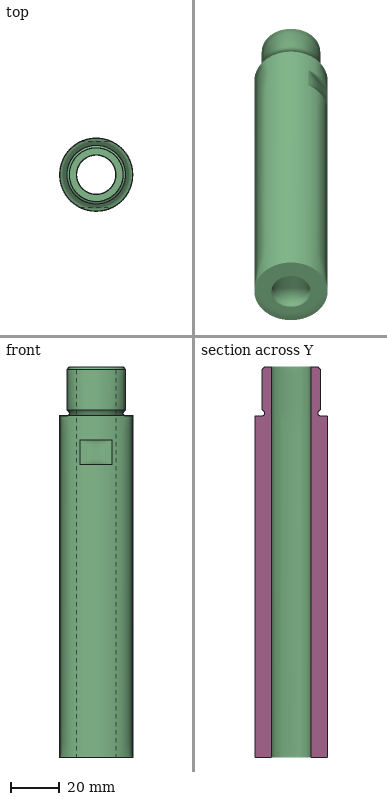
import cadquery as cq
import math

total_length = 160.0
body_diameter = 30.0
bore_diameter = 16.0

spigot_diameter = 24.0
spigot_length = 20.0
spigot_chamfer = 1.0

groove_radius = 1.0
run_out_angle = 45.0

across_flats = 27.0
flat_height = 10.0
flat_below_shoulder = 10.0

body_radius = body_diameter / 2
bore_radius = bore_diameter / 2
spigot_radius = spigot_diameter / 2
shoulder_z = total_length - spigot_length

groove_center_z = shoulder_z + groove_radius
tangent_radius = spigot_radius - groove_radius * math.sin(math.radians(run_out_angle))
tangent_z = groove_center_z + groove_radius * math.cos(math.radians(run_out_angle))
run_out_height = (spigot_radius - tangent_radius) * math.tan(math.radians(run_out_angle))


def turned_tube():
    """Revolve the half section: body, shoulder, relief groove, spigot and through bore."""
    section = (
        cq.Workplane("XZ")
        .moveTo(bore_radius, 0)
        .lineTo(body_radius, 0)
        .lineTo(body_radius, shoulder_z)
        .lineTo(spigot_radius, shoulder_z)
        .threePointArc(
            (spigot_radius - groove_radius, groove_center_z),
            (tangent_radius, tangent_z),
        )
        .lineTo(spigot_radius, tangent_z + run_out_height)
        .lineTo(spigot_radius, total_length - spigot_chamfer)
        .lineTo(spigot_radius - spigot_chamfer, total_length)
        .lineTo(bore_radius, total_length)
        .close()
    )
    return section.revolve(360, (0, 0, 0), (0, 1, 0))


def flat_cutter(side):
    """Block that removes everything outside one wrench flat; side is -1 or +1 along Y."""
    cut_depth = body_radius
    center_y = side * (across_flats + cut_depth) / 2
    center_z = shoulder_z - flat_below_shoulder - flat_height / 2
    return cq.Workplane("XY").box(body_diameter, cut_depth, flat_height).translate((0, center_y, center_z))


result = turned_tube()
for side in (-1, 1):
    result = result.cut(flat_cutter(side))